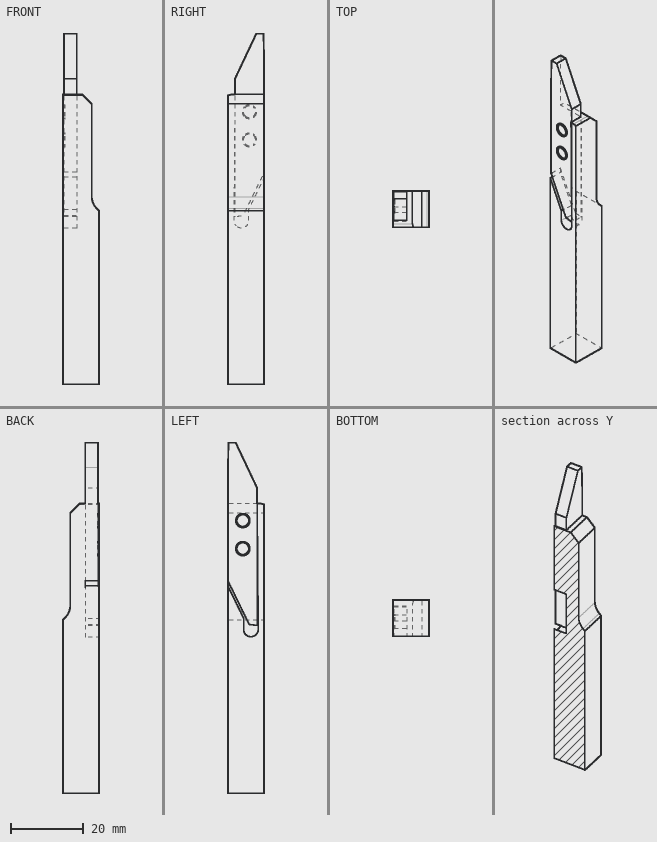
import cadquery as cq
import math

length = 96.6
width = 10.0
half = width / 2

body_top = 79.9
relief_x = 3.0
relief_bottom = 47.8
relief_radius = 4.6
top_chamfer = 2.6
lip_run = 1.0
lip_drop = 0.3

blade_inset = 0.3
blade_thickness = 3.6
blade_face_x = -half + blade_inset
seat_x = blade_face_x + blade_thickness
blade_front_y = -3.1
tip_y = 2.8
tip_back_inset = 0.2
tip_relief_bottom = 89.8
shoulder_z = 84.1
heel_y = -0.9
heel_z = 46.6
heel_front_z = 46.3
blade_back_z = 58.6

slot_radius = 2.0
slot_front_y = -3.4
slot_back_y = slot_front_y + 2 * slot_radius
slot_center_z = 45.2
slot_shoulder_z = 48.3
slot_open_z = 57.2

pin_y = 0.9
pin_heights = (75.2, 67.4)
pin_radius = 1.6
pin_hole_radius = 1.9
ring_depth = 0.3


def make_body():
    """Square shank with a relieved +X side and a bevelled top."""
    cos45 = math.sqrt(0.5)
    arc_dx = relief_radius * (1 - cos45)
    arc_dz = relief_radius * cos45
    arc_end_x = relief_x + arc_dx
    arc_end_z = relief_bottom + half - arc_end_x
    arc_mid_x = relief_x + relief_radius * (1 - math.cos(math.pi / 8))
    arc_mid_z = arc_end_z + arc_dz - relief_radius * math.sin(math.pi / 8)

    body = (
        cq.Workplane("XZ")
        .moveTo(-half, 0)
        .lineTo(half, 0)
        .lineTo(half, relief_bottom)
        .lineTo(arc_end_x, arc_end_z)
        .threePointArc((arc_mid_x, arc_mid_z), (relief_x, arc_end_z + arc_dz))
        .lineTo(relief_x, body_top - top_chamfer)
        .lineTo(relief_x - top_chamfer, body_top)
        .lineTo(-half, body_top)
        .close()
        .extrude(half, both=True)
    )
    lip = (
        cq.Workplane("YZ")
        .polyline([
            (-half, body_top),
            (-half, body_top - lip_drop),
            (-half + lip_run, body_top),
        ])
        .close()
        .extrude(half, both=True)
    )
    return body.cut(lip)


def make_seat():
    """Pocket for the blade, open at the top and back, with a round lower end."""
    return (
        cq.Workplane("YZ", origin=(-half, 0, 0))
        .moveTo(half, body_top)
        .lineTo(half, slot_open_z)
        .lineTo(slot_back_y, slot_shoulder_z)
        .lineTo(slot_back_y, slot_center_z)
        .threePointArc(
            (slot_back_y - slot_radius, slot_center_z - slot_radius),
            (slot_front_y, slot_center_z),
        )
        .lineTo(blade_front_y, body_top)
        .close()
        .extrude(seat_x + half)
    )


def make_blade():
    """Flat blade with a sloped tip and a sloped heel."""
    return (
        cq.Workplane("YZ", origin=(blade_face_x, 0, 0))
        .polyline([
            (half - tip_back_inset, length),
            (tip_y, length),
            (blade_front_y, shoulder_z),
            (blade_front_y, heel_front_z),
            (heel_y, heel_z),
            (half, blade_back_z),
            (half, tip_relief_bottom),
        ])
        .close()
        .extrude(blade_thickness)
    )


def make_pin_rings():
    """Shallow ring grooves in the blade face."""
    return (
        cq.Workplane("YZ", origin=(blade_face_x, 0, 0))
        .pushPoints([(pin_y, height) for height in pin_heights])
        .circle(pin_hole_radius)
        .circle(pin_radius)
        .extrude(ring_depth)
    )


result = make_body().cut(make_seat()).union(make_blade()).cut(make_pin_rings())